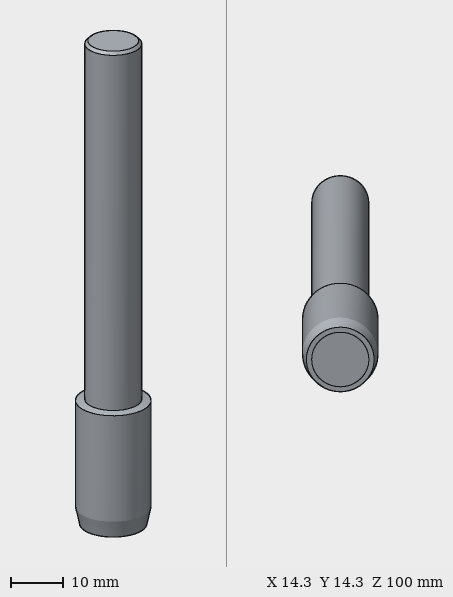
import cadquery as cq

total_length = 100.0
base_z = -total_length / 2
shaft_radius = 5.4
shaft_chamfer = 0.6

sleeve_radius = 14.3 / 2
sleeve_length = 25.8
sleeve_top_drop = 0.3
nose_height = 3.5
nose_end_radius = 6.4


def make_shaft():
    """Plain round bar with a chamfer around its upper end."""
    top_z = base_z + total_length
    return (
        cq.Workplane("XZ")
        .moveTo(0, base_z)
        .lineTo(shaft_radius, base_z)
        .lineTo(shaft_radius, top_z - shaft_chamfer)
        .lineTo(shaft_radius - shaft_chamfer, top_z)
        .lineTo(0, top_z)
        .close()
        .revolve(360, (0, 0), (0, 1))
    )


def make_sleeve():
    """Tube on the shaft with a tapered lower nose and a shallow conical top."""
    top_z = base_z + sleeve_length
    return (
        cq.Workplane("XZ")
        .moveTo(shaft_radius, base_z)
        .lineTo(nose_end_radius, base_z)
        .lineTo(sleeve_radius, base_z + nose_height)
        .lineTo(sleeve_radius, top_z - sleeve_top_drop)
        .lineTo(shaft_radius, top_z)
        .close()
        .revolve(360, (0, 0), (0, 1))
    )


shaft = make_shaft()
sleeve = make_sleeve()

result = cq.Compound.makeCompound([shaft.val(), sleeve.val()])